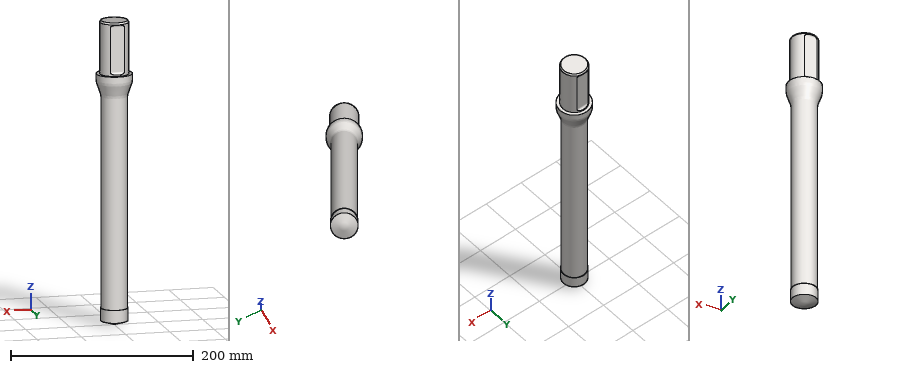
import cadquery as cq
import math

total_length = 342.0
tip_length = 19.0
point_angle = 145.0
flare_bottom = 258.0
flare_top = 273.0
collar_top = 282.0

tip_diameter = 30.5
stem_diameter = 29.5
collar_diameter = 40.0
shank_diameter = 32.0

shank_chamfer_width = 1.5
shank_chamfer_height = 2.0
flare_rounding = 10.0

flat_depth = 2.0
flat_bottom = 286.5
flat_top = 336.5
flat_end_radius = 6.5 / 2

tip_radius = tip_diameter / 2
stem_radius = stem_diameter / 2
collar_radius = collar_diameter / 2
shank_radius = shank_diameter / 2


def make_tip():
    """Cylindrical drill head with a conical point."""
    point_height = tip_radius / math.tan(math.radians(point_angle / 2))
    return (
        cq.Workplane("XZ")
        .moveTo(0, 0)
        .lineTo(tip_radius, point_height)
        .lineTo(tip_radius, tip_length)
        .lineTo(0, tip_length)
        .close()
        .revolve(360, (0, 0), (0, 1))
    )


def make_flat_cutter():
    """Prism that mills the flat, with a concave arc at each end of its floor."""
    floor_y = shank_radius - flat_depth
    outer_y = floor_y + flat_end_radius
    return (
        cq.Workplane("YZ")
        .moveTo(floor_y, flat_bottom)
        .lineTo(floor_y, flat_top)
        .radiusArc((outer_y, flat_top + flat_end_radius), flat_end_radius)
        .lineTo(outer_y, flat_bottom - flat_end_radius)
        .radiusArc((floor_y, flat_bottom), flat_end_radius)
        .close()
        .extrude(shank_radius, both=True)
    )


def make_holder():
    """Stem, flared collar and shank in one turned piece, with the clamping flat."""
    turned = (
        cq.Workplane("XZ")
        .moveTo(0, total_length)
        .lineTo(shank_radius - shank_chamfer_width, total_length)
        .lineTo(shank_radius, total_length - shank_chamfer_height)
        .lineTo(shank_radius, collar_top)
        .lineTo(collar_radius, collar_top)
        .lineTo(collar_radius, flare_top)
        .lineTo(stem_radius, flare_bottom)
        .lineTo(stem_radius, tip_length)
        .lineTo(0, tip_length)
        .close()
        .revolve(360, (0, 0), (0, 1))
    )
    stem_middle = (tip_length + flare_bottom) / 2
    collar_middle = (flare_top + collar_top) / 2
    flare_rims = [
        edge
        for edge in turned.edges("%CIRCLE").vals()
        if stem_middle < edge.Center().z < collar_middle
    ]
    rounded = turned.newObject(flare_rims).fillet(flare_rounding)
    return rounded.cut(make_flat_cutter())


tip = make_tip()
holder = make_holder()

result = cq.Compound.makeCompound([tip.val(), holder.val()])